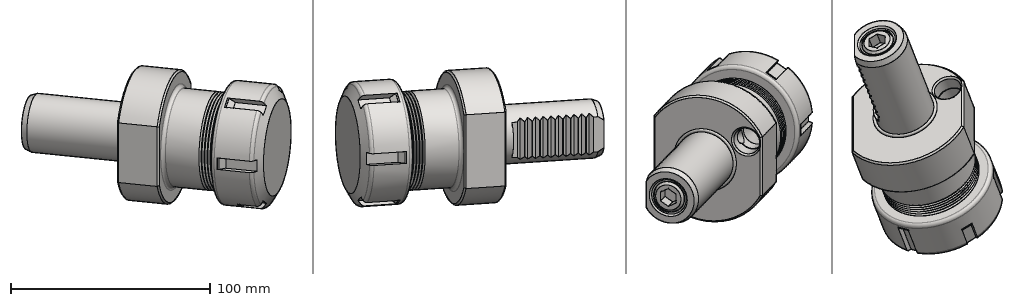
import cadquery as cq
import math


total_length = 130.0
flange_start = 54.9
flange_end = 76.8
thread_start = 96.3
nut_start = 104.3
nose_end = 119.6

shank_radius = 15.0
shank_lead_length = 3.2
shank_lead_drop = 1.2
shank_flat_y = 11.8
shank_flat_end = 47.8
tooth_count = 10
tooth_depth = 1.4
tooth_half_width = 1.8
first_tooth_x = 7.4
last_tooth_x = 43.3
tooth_pitch = (last_tooth_x - first_tooth_x) / (tooth_count - 1)

flange_radius = 68.0 / 2
flange_flat_front_y = -30.0
flange_flat_back_y = 28.1
flange_chamfer = 0.9

body_radius = 25.0
neck_fillet = 2.0
thread_pitch = 1.5
thread_depth = 1.2
thread_groove_count = 5

nut_radius = 63.0 / 2
nut_face_radius = 24.6
nut_cone_length = 4.0
nut_back_fillet = 2.0
nut_shoulder_fillet = 2.3
slot_count = 6
first_slot_angle = 90.0
slot_width = 6.1
slot_depth = 3.1
slot_shelf_length = 0.8
slot_shelf_depth = 0.3
slot_start = 107.8
short_slot_start = 114.7
short_slot_index = 5

screw_radius = 8.2
screw_length = 13.0
screw_chamfer = 1.4
hex_across_flats = 8.3
hex_across_corners = hex_across_flats / math.cos(math.pi / 6)
hex_depth = 6.5
screw_hole_mouth_radius = 10.1
screw_hole_chamfer = 0.9
hole_thread_depth = 0.8

ring_section_radius = 1.7 / 2

coolant_y = -21.6
coolant_z = 12.5
coolant_mouth_radius = 7.8
coolant_mouth_chamfer = 0.9
coolant_entry_radius = 6.9
coolant_entry_depth = 7.8
coolant_radius = 6.6
coolant_depth = 14.3
drill_point_angle = 118.0
duct_radius = 3.4
duct_depth = 9.1
duct_length = 15.6
duct_tilt = 15.0


def turned(outline):
    """Revolve a closed (x, radius) outline about the X axis."""
    return outline.close().revolve(360, (0, 0, 0), (1, 0, 0))


def cylinder_x(radius, start, end, y=0.0, z=0.0):
    """Cylinder along X between two stations."""
    return cq.Workplane("YZ", origin=(start, y, z)).circle(radius).extrude(end - start)


def cone_x(start_radius, end_radius, start, end, y=0.0, z=0.0):
    """Cone or frustum along X between two stations."""
    solid = cq.Solid.makeCone(
        start_radius, end_radius, end - start, cq.Vector(start, y, z), cq.Vector(1, 0, 0)
    )
    return cq.Workplane(obj=solid)


def v_groove(x, radius, depth, half_width):
    """Ring with a V section whose open side lies at the given radius; depth < 0 cuts outward."""
    return turned(
        cq.Workplane("XY")
        .moveTo(x - half_width, radius)
        .lineTo(x, radius - depth)
        .lineTo(x + half_width, radius)
    )


def make_sealing_ring():
    solid = cq.Solid.makeTorus(
        shank_radius + ring_section_radius,
        ring_section_radius,
        cq.Vector(flange_start - ring_section_radius, 0, 0),
        cq.Vector(1, 0, 0),
    )
    return cq.Workplane(obj=solid)


def make_flange():
    disc = cylinder_x(flange_radius, flange_start, flange_end)
    flat_spacing = flange_flat_back_y - flange_flat_front_y
    envelope = (
        cq.Workplane("XY")
        .box(flange_end - flange_start, flat_spacing, 2 * flange_radius, centered=(False, False, True))
        .translate((flange_start, flange_flat_front_y, 0))
    )
    flange = disc.intersect(envelope)
    return flange.faces("<X or >X").chamfer(flange_chamfer)


def make_shank():
    shank = turned(
        cq.Workplane("XY")
        .lineTo(0, shank_radius - shank_lead_drop)
        .lineTo(shank_lead_length, shank_radius)
        .lineTo(flange_start, shank_radius)
        .lineTo(flange_start, 0)
    )
    clearance = 2 * shank_radius
    flat = cq.Workplane("XY").box(
        shank_flat_end, clearance, clearance, centered=(False, False, True)
    ).translate((0, shank_flat_y, 0))
    shank = shank.cut(flat)
    for i in range(tooth_count):
        tooth_x = first_tooth_x + i * tooth_pitch
        gap = (
            cq.Workplane("XY")
            .moveTo(tooth_x - tooth_half_width, shank_flat_y)
            .lineTo(tooth_x, shank_flat_y - tooth_depth)
            .lineTo(tooth_x + tooth_half_width, shank_flat_y)
            .close()
            .extrude(shank_radius, both=True)
        )
        shank = shank.cut(gap)
    return shank


def make_body():
    body = turned(
        cq.Workplane("XY")
        .moveTo(flange_end, 0)
        .lineTo(flange_end, body_radius + neck_fillet)
        .radiusArc((flange_end + neck_fillet, body_radius), -neck_fillet)
        .lineTo(nose_end, body_radius)
        .lineTo(nose_end, 0)
    )
    for i in range(thread_groove_count):
        groove_x = thread_start + (i + 0.5) * thread_pitch
        body = body.cut(v_groove(groove_x, body_radius, thread_depth, thread_pitch / 2))
    return body


def cut_screw_hole(holder):
    holder = holder.cut(cylinder_x(screw_radius, 0, screw_length))
    mouth_end_radius = screw_hole_mouth_radius - screw_hole_chamfer
    holder = holder.cut(cone_x(screw_hole_mouth_radius, mouth_end_radius, 0, screw_hole_chamfer))
    half_pitch = thread_pitch / 2
    groove_x = screw_hole_chamfer + half_pitch
    return holder.cut(v_groove(groove_x, screw_radius, -hole_thread_depth, half_pitch))


def cut_coolant_hole(holder):
    mouth_end = flange_start + coolant_mouth_chamfer
    entry_end = flange_start + coolant_entry_depth
    bottom = flange_start + coolant_depth
    tip = bottom + coolant_radius / math.tan(math.radians(drill_point_angle / 2))
    place = (coolant_y, coolant_z)
    mouth = cone_x(coolant_mouth_radius, coolant_entry_radius, flange_start, mouth_end, *place)
    entry = cylinder_x(coolant_entry_radius, flange_start, entry_end, *place)
    bore = cylinder_x(coolant_radius, entry_end, bottom, *place)
    drill_point = cone_x(coolant_radius, 0, bottom, tip, *place)
    return holder.cut(mouth).cut(entry).cut(bore).cut(drill_point)


def cut_coolant_duct(holder):
    """Blind side hole from the coolant hole into the flange, sloping down."""
    start = cq.Vector(flange_start + duct_depth, coolant_y, coolant_z)
    tilt = math.radians(duct_tilt)
    inward = cq.Vector(0, math.cos(tilt), -math.sin(tilt))
    duct = cq.Solid.makeCylinder(duct_radius, duct_length, start, inward)
    return holder.cut(cq.Workplane(obj=duct))


def make_holder():
    holder = make_shank().union(make_flange()).union(make_body())
    holder = cut_screw_hole(holder)
    holder = cut_coolant_hole(holder)
    return cut_coolant_duct(holder)


def slot_cutter(start, angle):
    """Flat-floored slot; its rear end has a shallow shelf and then a 45 degree ramp."""
    floor = nut_radius - slot_depth
    shelf = nut_radius - slot_shelf_depth
    clear = nut_radius + slot_depth
    ramp_start = start + slot_shelf_length
    return (
        cq.Workplane("XZ")
        .moveTo(start, clear)
        .lineTo(start, shelf)
        .lineTo(ramp_start, shelf)
        .lineTo(ramp_start + slot_depth - slot_shelf_depth, floor)
        .lineTo(total_length, floor)
        .lineTo(total_length, clear)
        .close()
        .extrude(slot_width / 2, both=True)
        .rotate((0, 0, 0), (1, 0, 0), angle)
    )


def make_nut():
    cone_start = total_length - nut_cone_length
    nut = turned(
        cq.Workplane("XY")
        .moveTo(nut_start, 0)
        .lineTo(nut_start, nut_radius)
        .lineTo(cone_start, nut_radius)
        .lineTo(total_length, nut_face_radius)
        .lineTo(total_length, 0)
    )
    nut = nut.faces("<X").edges().fillet(nut_back_fillet)
    shoulder_edge = cq.selectors.NearestToPointSelector((cone_start, 0, 0))
    nut = nut.edges("%CIRCLE").edges(shoulder_edge).fillet(nut_shoulder_fillet)
    for i in range(slot_count):
        start = short_slot_start if i == short_slot_index else slot_start
        nut = nut.cut(slot_cutter(start, first_slot_angle - i * 360 / slot_count))
    return nut.cut(cylinder_x(body_radius, nut_start, nose_end))


def make_set_screw():
    screw = cylinder_x(screw_radius, 0, screw_length)
    screw = screw.faces("<X").chamfer(screw_chamfer)
    hexagon = (
        cq.Workplane("YZ")
        .transformed(rotate=(0, 0, 90))
        .polygon(6, hex_across_corners)
        .extrude(hex_depth)
    )
    return screw.cut(hexagon)


holder = make_holder()
nut = make_nut()
set_screw = make_set_screw()
sealing_ring = make_sealing_ring()

result = cq.Compound.makeCompound(
    [holder.val(), nut.val(), set_screw.val(), sealing_ring.val()]
)